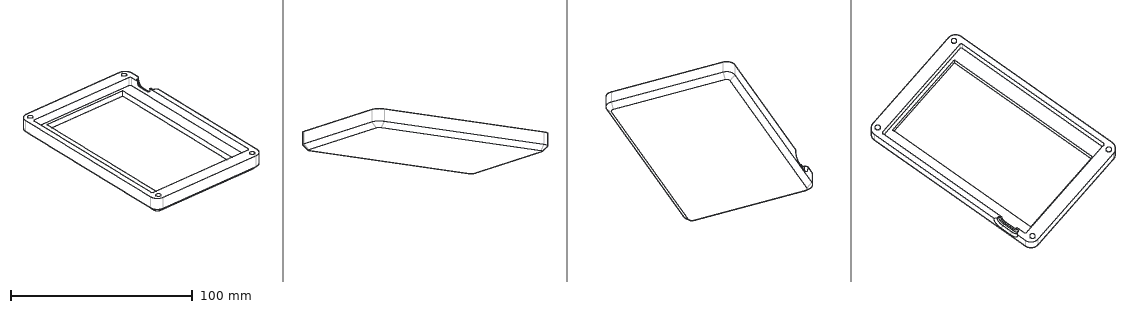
import cadquery as cq

length = 115.6
width = 77.1
height = 10.1
corner_radius = 5.0
bottom_chamfer = 3.0

pocket_length = 100.6
pocket_width = 70.4
pocket_depth = 5.2
pocket_corner_radius = 0.9
window_length = 96.8
window_width = 54.9
window_depth = 3.5
window_offset_y = 0.6

hole_diameter = 3.0
hole_depth = 6.0
hole_spacing_x = 108.5
hole_spacing_y = 68.0

port_x = -39.1
port_axis_drop = 0.8
port_straight = 6.4
port_radius = 2.1
recess_radius = 3.9
recess_depth = 2.5
flare_depth = 1.4
flare_radius = 5.1

wall = (width - pocket_width) / 2
back_y = width / 2


def make_body():
    body = cq.Workplane("XY").box(length, width, height, centered=(True, True, False))
    body = body.edges("|Z").fillet(corner_radius)
    return body.faces("<Z").chamfer(bottom_chamfer)


def cut_pockets(body):
    pocket = (
        cq.Workplane("XY", origin=(0, 0, height))
        .rect(pocket_length, pocket_width)
        .extrude(-pocket_depth)
        .edges("|Z")
        .fillet(pocket_corner_radius)
    )
    window = (
        cq.Workplane("XY", origin=(0, window_offset_y, height - pocket_depth))
        .rect(window_length, window_width)
        .extrude(-window_depth)
    )
    return body.cut(pocket).cut(window)


def cut_screw_holes(body):
    holes = (
        cq.Workplane("XY", origin=(0, 0, height))
        .rect(hole_spacing_x, hole_spacing_y, forConstruction=True)
        .vertices()
        .circle(hole_diameter / 2)
        .extrude(-hole_depth)
    )
    return body.cut(holes)


def port_profile(radius):
    """Rounded slot on the outer back face, with its normal pointing inward."""
    plane = cq.Workplane("XZ", origin=(port_x, back_y, height - port_axis_drop))
    return plane.slot2D(port_straight + 2 * radius, 2 * radius)


def cut_port(body):
    through_slot = port_profile(port_radius).extrude(wall)
    recess = port_profile(recess_radius).extrude(recess_depth)
    flare = (
        port_profile(flare_radius)
        .workplane(offset=flare_depth)
        .slot2D(port_straight + 2 * recess_radius, 2 * recess_radius)
        .loft(ruled=True)
    )
    return body.cut(through_slot).cut(recess).cut(flare)


result = make_body()
result = cut_pockets(result)
result = cut_screw_holes(result)
result = cut_port(result)